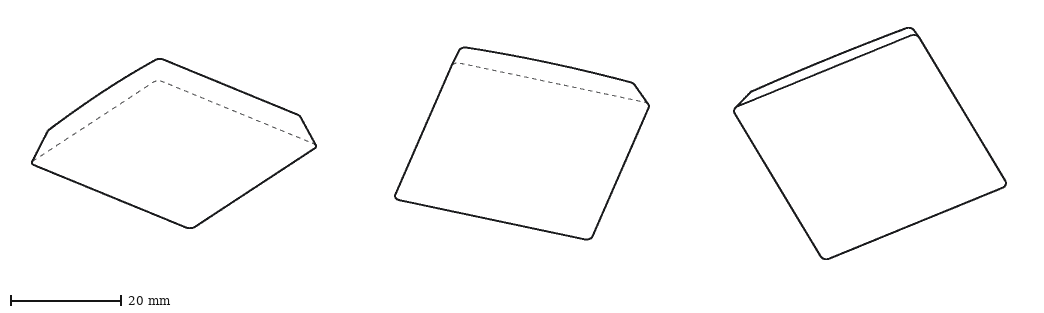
import cadquery as cq
import math

base_side = 37.35
crown_height = 7.5

wall_draft_angle = 17.8
corner_radius = 1.25

crown_radius = 143.0
rim_radius = 0.7

half_side = base_side / 2
eaves_z = crown_height - crown_radius + math.sqrt(crown_radius**2 - half_side**2)


def drafted_block():
    """Square block with walls leaning inward and rounded corner edges."""
    block = cq.Workplane("XY").rect(base_side, base_side).extrude(crown_height, taper=wall_draft_angle)
    return block.edges("not(#Z or |X or |Y)").fillet(corner_radius)


def crown_envelope():
    """Space below the crowned top, which is one arc with its crest above the X axis."""
    return (
        cq.Workplane("YZ", origin=(-half_side, 0, 0))
        .moveTo(-half_side, 0)
        .lineTo(half_side, 0)
        .lineTo(half_side, eaves_z)
        .threePointArc((0, crown_height), (-half_side, eaves_z))
        .close()
        .extrude(base_side)
    )


crowned_block = drafted_block().intersect(crown_envelope())
result = crowned_block.faces(">Z").edges().fillet(rim_radius)